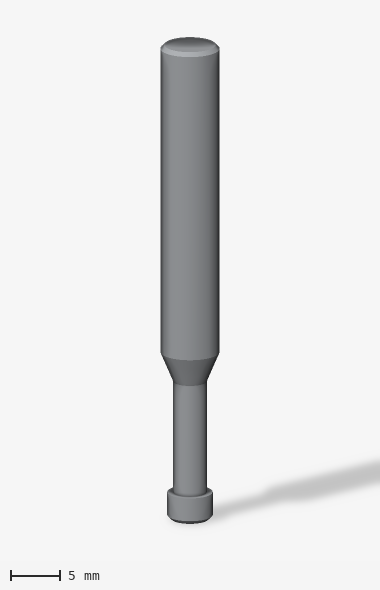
import cadquery as cq

total_length = 50.0
shank_diameter = 6.0
neck_diameter = 3.4
head_diameter = 4.6
head_length = 2.8
neck_top = 14.5
taper_length = 3.1
shank_chamfer = 0.4
head_chamfer = 0.4

shank_radius = shank_diameter / 2
neck_radius = neck_diameter / 2
head_radius = head_diameter / 2

profile = (
    cq.Workplane("XZ")
    .moveTo(0, 0)
    .lineTo(head_radius - head_chamfer, 0)
    .lineTo(head_radius, head_chamfer)
    .lineTo(head_radius, head_length)
    .lineTo(neck_radius, head_length)
    .lineTo(neck_radius, neck_top)
    .lineTo(shank_radius, neck_top + taper_length)
    .lineTo(shank_radius, total_length - shank_chamfer)
    .lineTo(shank_radius - shank_chamfer, total_length)
    .lineTo(0, total_length)
    .close()
)

result = profile.revolve(360, (0, 0, 0), (0, 1, 0))